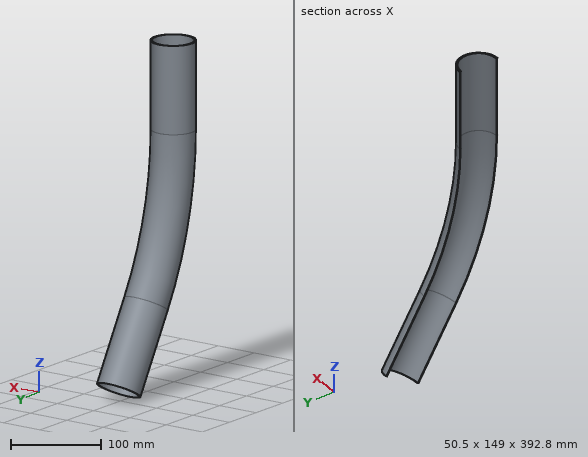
import cadquery as cq
import math

overall_height = 392.8
outer_diameter = 50.5
inner_diameter = 46.7
straight_length = 101.7
bend_angle = 30.0

bend_sin = math.sin(math.radians(bend_angle))
bend_cos = math.cos(math.radians(bend_angle))
straight_height = straight_length * (1 + bend_cos)
tilted_end_drop = outer_diameter / 2 * bend_sin
bend_radius = (overall_height - straight_height - tilted_end_drop) / bend_sin


def ring(plane):
    """Pipe cross-section on the given plane."""
    return cq.Workplane(plane).circle(outer_diameter / 2).circle(inner_diameter / 2)


upper_leg = ring("XY").extrude(straight_length)

bend = ring("XY").revolve(bend_angle, (0, bend_radius, 0), (1, bend_radius, 0))

lower_leg_plane = cq.Plane(
    origin=(0, bend_radius * (1 - bend_cos), -bend_radius * bend_sin),
    xDir=(1, 0, 0),
    normal=(0, bend_sin, -bend_cos),
)
lower_leg = ring(lower_leg_plane).extrude(straight_length)

result = upper_leg.union(bend).union(lower_leg)